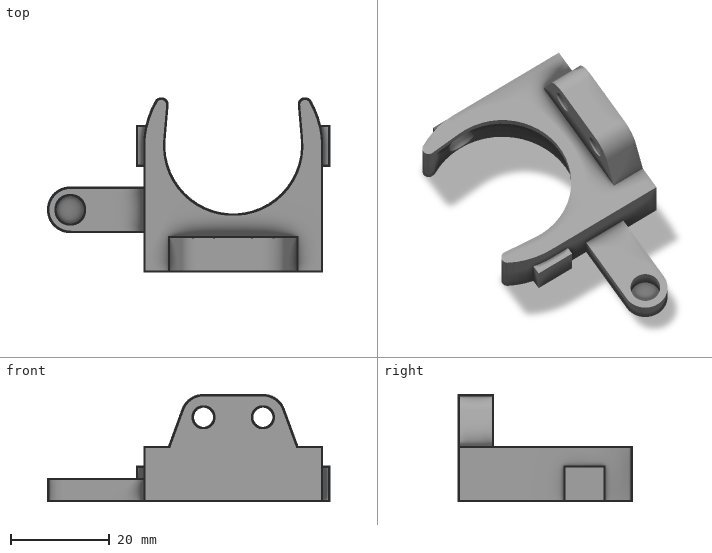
import cadquery as cq
import math

body_width = 36.0
body_height = 11.0
bore_radius = 13.95
bore_y = 25.55
jaw_radius = body_width / 2
tip_radius = 1.25
tip_angle = math.radians(29.7)

lip_height = 1.7
undercut_radius = 15.4
undercut_edge_radius = 1.2

pad_overhang = 1.5
pad_length = 8.1
pad_height = 7.0
pad_y = 25.5
pad_hole_diameter = 6.0

arm_width = 9.0
arm_height = 4.5
arm_y = 12.55
arm_reach = 37.5
arm_hole_diameter = 6.0
arm_hole_floor = 0.5

lug_base_width = 26.0
lug_thickness = 7.0
lug_height = 21.5
lug_corner_radius = 4.5
lug_hole_spacing = 12.0
lug_hole_diameter = 4.35


def polar(radius, angle, center=(0, bore_y)):
    """Point on the +X side at an angle above the X axis."""
    return center[0] + radius * math.cos(angle), center[1] + radius * math.sin(angle)


def mirrored(point):
    return -point[0], point[1]


def make_body():
    tip_distance = jaw_radius - tip_radius
    tip_center = polar(tip_distance, tip_angle)
    edge_angle = tip_angle - math.acos((bore_radius + tip_radius) / tip_distance)
    outer_start = polar(jaw_radius, 0)
    outer_middle = polar(jaw_radius, tip_angle / 2)
    outer_end = polar(jaw_radius, tip_angle)
    tip_middle = polar(tip_radius, (tip_angle + edge_angle + math.pi) / 2, tip_center)
    tip_end = polar(-tip_radius, edge_angle, tip_center)
    bore_start = polar(bore_radius, edge_angle)
    return (
        cq.Workplane("XY")
        .moveTo(-jaw_radius, 0)
        .lineTo(jaw_radius, 0)
        .lineTo(*outer_start)
        .threePointArc(outer_middle, outer_end)
        .threePointArc(tip_middle, tip_end)
        .lineTo(*bore_start)
        .threePointArc((0, bore_y - bore_radius), mirrored(bore_start))
        .lineTo(*mirrored(tip_end))
        .threePointArc(mirrored(tip_middle), mirrored(outer_end))
        .threePointArc(mirrored(outer_middle), mirrored(outer_start))
        .close()
        .extrude(body_height)
    )


def make_undercut():
    return (
        cq.Workplane("XY")
        .center(0, bore_y)
        .circle(undercut_radius)
        .extrude(body_height - lip_height)
    )


def make_pads():
    pads = (
        cq.Workplane("XY")
        .center(0, pad_y)
        .rect(body_width + 2 * pad_overhang, pad_length)
        .extrude(pad_height)
    )
    bore = cq.Workplane("XY").center(0, bore_y).circle(undercut_radius).extrude(pad_height)
    return pads.cut(bore)


def make_pad_holes():
    """Cross holes that end where the pads start to overhang the body."""
    return (
        cq.Workplane("YZ")
        .center(pad_y, pad_height / 2)
        .circle(pad_hole_diameter / 2)
        .extrude(jaw_radius, both=True)
    )


def make_arm():
    end_x = arm_width / 2 - arm_reach
    root_x = -body_width / 2
    bar = (
        cq.Workplane("XY")
        .center((end_x + root_x) / 2, arm_y)
        .rect(root_x - end_x, arm_width)
        .extrude(arm_height)
    )
    end = cq.Workplane("XY").center(end_x, arm_y)
    rounded_end = end.circle(arm_width / 2).extrude(arm_height)
    hole = (
        end.workplane(offset=arm_hole_floor)
        .circle(arm_hole_diameter / 2)
        .extrude(arm_height - arm_hole_floor)
    )
    return bar.union(rounded_end).cut(hole)


def make_lug():
    hole_x = lug_hole_spacing / 2
    hole_z = lug_height - lug_corner_radius
    corner_x = lug_base_width / 2 - hole_x
    corner_z = body_height - hole_z
    slant_angle = math.atan2(corner_z, corner_x) + math.acos(
        lug_corner_radius / math.hypot(corner_x, corner_z)
    )
    center = (hole_x, hole_z)
    slant_end = polar(lug_corner_radius, slant_angle, center)
    round_middle = polar(lug_corner_radius, (slant_angle + math.pi / 2) / 2, center)
    base_corner = (lug_base_width / 2, body_height)
    lug = (
        cq.Workplane("XZ")
        .moveTo(*mirrored(base_corner))
        .lineTo(*base_corner)
        .lineTo(*slant_end)
        .threePointArc(round_middle, (hole_x, lug_height))
        .lineTo(-hole_x, lug_height)
        .threePointArc(mirrored(round_middle), mirrored(slant_end))
        .close()
        .extrude(-lug_thickness)
    )
    holes = (
        cq.Workplane("XZ")
        .pushPoints([(-hole_x, hole_z), (hole_x, hole_z)])
        .circle(lug_hole_diameter / 2)
        .extrude(-lug_thickness)
    )
    return lug.cut(holes)


def soften_undercut_ends(body):
    """Round the vertical edges where the undercut runs out near the jaw tips."""
    below_full_edges = (body_height - lip_height) / 2 + lip_height / 4
    ends = cq.selectors.BoxSelector(
        (-jaw_radius, bore_y + 0.55, 0),
        (jaw_radius, bore_y + jaw_radius, below_full_edges),
    )
    return body.edges("|Z").edges(ends).fillet(undercut_edge_radius)


body = soften_undercut_ends(make_body().cut(make_undercut()))
clip = body.union(make_pads()).cut(make_pad_holes())
result = clip.union(make_arm()).union(make_lug())